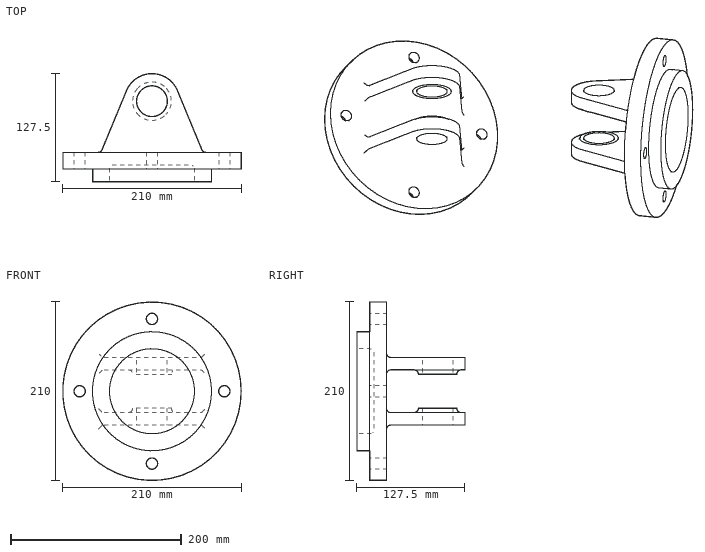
import cadquery as cq
import math

flange_diameter = 210.0
flange_thickness = 20.0
spigot_diameter = 140.0
spigot_height = 15.0
recess_diameter = 100.0
recess_depth = 20.0
bolt_circle_diameter = 170.0
bolt_hole_diameter = 13.0
bolt_count = 4

lug_thickness = 15.0
lug_gap = 50.0
lug_half_width = 60.0
eye_distance = 60.0
eye_radius = 32.5
pin_diameter = 36.0
boss_radius = 22.7

fillet_radius = 5.0
boss_height = fillet_radius


def disc(diameter, start_y, thickness):
    """Disc about the Y axis, reaching from start_y toward -Y."""
    return cq.Workplane("XZ", origin=(0, start_y, 0)).circle(diameter / 2).extrude(thickness)


def flange():
    front_y = -(flange_thickness + spigot_height)
    body = disc(flange_diameter, 0, flange_thickness)
    body = body.union(disc(spigot_diameter, -flange_thickness, spigot_height))
    recess = disc(recess_diameter, front_y + recess_depth, recess_depth)
    recess = recess.faces(">Y").edges().fillet(fillet_radius)
    bolt_holes = (
        cq.Workplane("XZ")
        .polarArray(bolt_circle_diameter / 2, 0, 360, bolt_count)
        .circle(bolt_hole_diameter / 2)
        .extrude(flange_thickness)
    )
    return body.cut(recess).cut(bolt_holes)


def upper_lug():
    """Tapered plate whose straight sides run tangent into the rounded eye."""
    corner_distance = math.hypot(lug_half_width, eye_distance)
    side_angle = math.atan2(eye_distance, lug_half_width) + math.asin(eye_radius / corner_distance)
    normal_angle = math.pi / 2 - side_angle
    tangent_x = eye_radius * math.cos(normal_angle)
    tangent_y = eye_distance + eye_radius * math.sin(normal_angle)
    return (
        cq.Workplane("XY", origin=(0, 0, lug_gap / 2))
        .moveTo(-lug_half_width, 0)
        .lineTo(lug_half_width, 0)
        .lineTo(tangent_x, tangent_y)
        .threePointArc((0, eye_distance + eye_radius), (-tangent_x, tangent_y))
        .close()
        .extrude(lug_thickness)
    )


def upper_boss():
    """Ring pad on the inner lug face, flared into the face by a concave fillet."""
    root_radius = boss_radius + fillet_radius
    arc_offset = fillet_radius * math.sqrt(0.5)
    face_z = lug_gap / 2
    top_z = face_z - boss_height
    return (
        cq.Workplane("XZ", origin=(0, eye_distance, 0))
        .moveTo(0, face_z)
        .lineTo(root_radius, face_z)
        .threePointArc(
            (root_radius - arc_offset, top_z + arc_offset),
            (boss_radius, top_z),
        )
        .lineTo(0, top_z)
        .close()
        .revolve(360, (0, 0, 0), (0, 1, 0))
    )


def add_lugs(body):
    lug = upper_lug()
    body = body.union(lug).union(lug.mirror("XY"))
    root_reach = lug_half_width + fillet_radius / 2
    root_box = cq.selectors.BoxSelector(
        (-root_reach, -fillet_radius / 2, -root_reach),
        (root_reach, fillet_radius / 2, root_reach),
    )
    body = body.edges("%LINE").edges(root_box).fillet(fillet_radius)
    boss = upper_boss()
    body = body.union(boss).union(boss.mirror("XY"))
    lug_span = lug_gap + 2 * lug_thickness
    pin_hole = (
        cq.Workplane("XY", origin=(0, eye_distance, -lug_span / 2))
        .circle(pin_diameter / 2)
        .extrude(lug_span)
    )
    return body.cut(pin_hole)


result = add_lugs(flange())